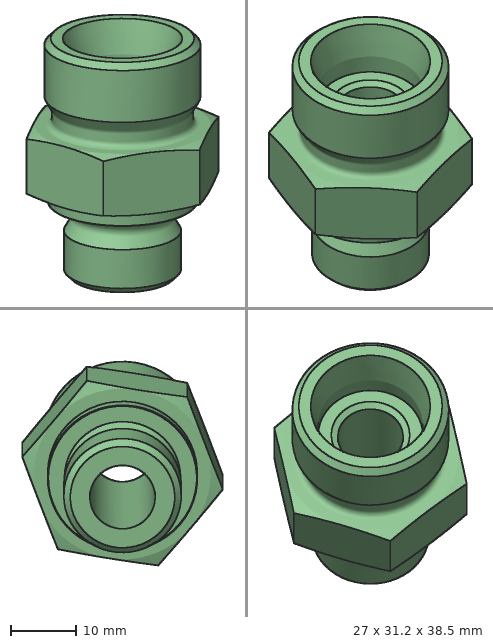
import cadquery as cq
import math

total_height = 38.5
hex_height = 10.0
hex_bottom = 14.48
hex_top = hex_bottom + hex_height

across_flats = 27.03
hex_corner_radius = across_flats / math.sqrt(3)
hex_chamfer_angle = math.radians(15)

upper_radius = 24.0 / 2
upper_neck_radius = 21.7 / 2
upper_neck_top = 26.85
upper_fillet = 1.0
end_chamfer = 1.0

collar_radius = 23.0 / 2
collar_height = 2.5
collar_bottom = hex_bottom - collar_height
collar_chamfer = 0.1
lower_radius = 18.0 / 2
lower_shoulder = 7.3
lower_groove_radius = 7.8
lower_groove_fillet = 1.27

groove_angle = math.radians(30)

through_radius = 10.0 / 2
socket_radius = 16.0 / 2
mouth_radius = 18.33 / 2
mouth_angle = math.radians(12)
socket_land = 3.0
countersink_radius = 12.0 / 2
countersink_angle = math.radians(30)


def groove_arc_rise(radius, angle):
    """Radial rise of a groove arc between its bottom and the given wall angle."""
    return radius * (1 - math.cos(angle))


def make_upper_end():
    """Threaded end with a run-out cone and a neck filleted into the hexagon."""
    fillet_middle = upper_fillet * (1 - math.sin(math.radians(45)))
    arc_top = upper_neck_top + upper_fillet * math.sin(groove_angle)
    arc_top_radius = upper_neck_radius + groove_arc_rise(upper_fillet, groove_angle)
    arc_middle_z = upper_neck_top + upper_fillet * math.sin(groove_angle / 2)
    arc_middle_radius = upper_neck_radius + groove_arc_rise(upper_fillet, groove_angle / 2)
    shoulder = arc_top + (upper_radius - arc_top_radius) / math.tan(groove_angle)
    return (
        cq.Workplane("XZ")
        .moveTo(0, hex_top)
        .lineTo(upper_neck_radius + upper_fillet, hex_top)
        .threePointArc(
            (upper_neck_radius + fillet_middle, hex_top + fillet_middle),
            (upper_neck_radius, hex_top + upper_fillet),
        )
        .lineTo(upper_neck_radius, upper_neck_top)
        .threePointArc((arc_middle_radius, arc_middle_z), (arc_top_radius, arc_top))
        .lineTo(upper_radius, shoulder)
        .lineTo(upper_radius, total_height - end_chamfer)
        .lineTo(upper_radius - end_chamfer, total_height)
        .lineTo(0, total_height)
        .close()
        .revolve(360, (0, 0, 0), (0, 1, 0))
    )


def make_lower_end():
    """Threaded end with a V groove, topped by the sealing collar."""
    arc_end_radius = lower_groove_radius + groove_arc_rise(lower_groove_fillet, groove_angle)
    arc_half_height = lower_groove_fillet * math.sin(groove_angle)
    arc_bottom = lower_shoulder + (lower_radius - arc_end_radius) / math.tan(groove_angle)
    arc_middle = arc_bottom + arc_half_height
    arc_top = arc_middle + arc_half_height
    wall_top_radius = arc_end_radius + (collar_bottom - arc_top) * math.tan(groove_angle)
    return (
        cq.Workplane("XZ")
        .moveTo(0, 0)
        .lineTo(lower_radius - end_chamfer, 0)
        .lineTo(lower_radius, end_chamfer)
        .lineTo(lower_radius, lower_shoulder)
        .lineTo(arc_end_radius, arc_bottom)
        .threePointArc((lower_groove_radius, arc_middle), (arc_end_radius, arc_top))
        .lineTo(wall_top_radius, collar_bottom)
        .lineTo(collar_radius - collar_chamfer, collar_bottom)
        .lineTo(collar_radius, collar_bottom + collar_chamfer)
        .lineTo(collar_radius, hex_bottom)
        .lineTo(0, hex_bottom)
        .close()
        .revolve(360, (0, 0, 0), (0, 1, 0))
    )


def make_hexagon():
    """Hexagon with corners on the Y axis, both faces chamfered conically."""
    prism = (
        cq.Workplane("XY", origin=(0, 0, hex_bottom))
        .polygon(6, 2 * hex_corner_radius)
        .extrude(hex_height)
        .rotate((0, 0, 0), (0, 0, 1), 30)
    )
    face_radius = across_flats / 2
    corner_drop = (hex_corner_radius - face_radius) * math.tan(hex_chamfer_angle)
    envelope = (
        cq.Workplane("XZ")
        .moveTo(0, hex_bottom)
        .lineTo(face_radius, hex_bottom)
        .lineTo(hex_corner_radius, hex_bottom + corner_drop)
        .lineTo(hex_corner_radius, hex_top - corner_drop)
        .lineTo(face_radius, hex_top)
        .lineTo(0, hex_top)
        .close()
        .revolve(360, (0, 0, 0), (0, 1, 0))
    )
    return prism.intersect(envelope)


def make_bore():
    """Tapered mouth, cylindrical socket, countersink and through hole."""
    taper_bottom = total_height - (mouth_radius - socket_radius) / math.tan(mouth_angle)
    socket_floor = taper_bottom - socket_land
    countersink_depth = (countersink_radius - through_radius) * math.tan(countersink_angle)
    return (
        cq.Workplane("XZ")
        .moveTo(0, 0)
        .lineTo(through_radius, 0)
        .lineTo(through_radius, socket_floor - countersink_depth)
        .lineTo(countersink_radius, socket_floor)
        .lineTo(socket_radius, socket_floor)
        .lineTo(socket_radius, taper_bottom)
        .lineTo(mouth_radius, total_height)
        .lineTo(0, total_height)
        .close()
        .revolve(360, (0, 0, 0), (0, 1, 0))
    )


result = make_hexagon().union(make_upper_end()).union(make_lower_end()).cut(make_bore())